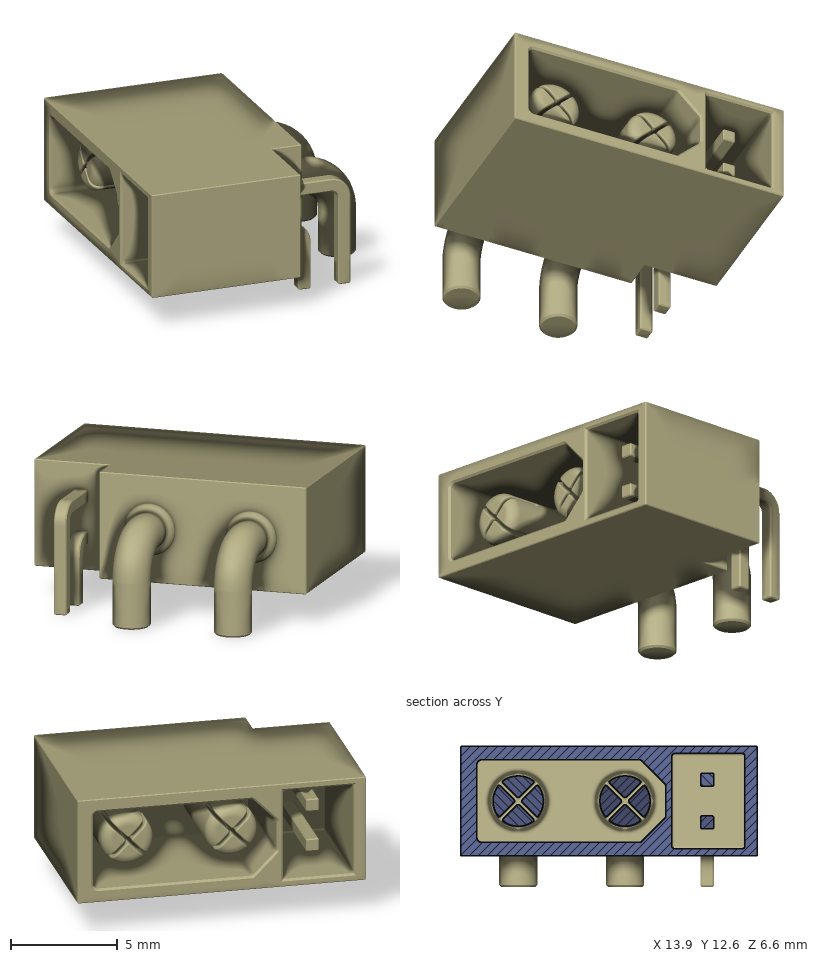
import cadquery as cq

WIDTH = 13.9
DEPTH = 9.0
HEIGHT = 5.15
MID_HEIGHT = HEIGHT / 2
STEP_X = 10.2
STEP_DEPTH = 1.5
STEP_Y = DEPTH - STEP_DEPTH
BLOCK_CHAMFER = 0.04

POCKET_DEPTH = 6.0
MOUTH_CHAMFER = 0.1
POWER_LEFT = 0.76
POWER_RIGHT = 9.6
POWER_MARGIN = 0.65
POWER_BEVEL = 1.17
POWER_CORNER_RADIUS = 0.24
BEVEL_CORNER_RADIUS = 0.2
SIGNAL_LEFT = 9.91
SIGNAL_RIGHT = 13.3
SIGNAL_MARGIN = 0.36
SIGNAL_EDGE_RADIUS = 0.1

TIP_Y = 1.0
FOOT_Z = -1.45

POWER_X = (2.7, 7.7)
HEAD_DIAMETER = 2.5
TAIL_DIAMETER = 1.8
TAIL_BEND_RADIUS = 1.8
TAIL_REAR_Y = 12.64
TAIL_Y = TAIL_REAR_Y - TAIL_DIAMETER / 2
COLLAR_LENGTH = 0.3
COLLAR_FILLET = 0.29
TIP_FILLET = 0.5
FOOT_CHAMFER = 0.1
SLOT_WIDTH = 0.17
SLOT_DEPTH = 2.0
SLOT_RIM_RADIUS = 0.07
SLOT_CORNER_RADIUS = 0.1
SLOT_ANGLES = (45, 135)

SIGNAL_X = 11.55
SIGNAL_PITCH = 2.0
SIGNAL_SIZE = 0.63
SIGNAL_BEND_RADIUS = 0.99
SIGNAL_EDGE_CHAMFER = 0.05
UPPER_LEG_Y = 10.5
LOWER_LEG_Y = 8.49
SIGNAL_CONTACTS = (
    (MID_HEIGHT + SIGNAL_PITCH / 2, UPPER_LEG_Y),
    (MID_HEIGHT - SIGNAL_PITCH / 2, LOWER_LEG_Y),
)


def front_plane(y):
    """Plane facing the front: local x is X, local y is Z, extrusion goes toward -Y."""
    return cq.Workplane("XZ", origin=(0, y, 0))


def make_block():
    """Edge-chamfered block with a step cut out of its rear right corner."""
    block = cq.Workplane("XY").box(WIDTH, DEPTH, HEIGHT, centered=False)
    step = (
        cq.Workplane("XY", origin=(STEP_X, STEP_Y, 0))
        .box(WIDTH - STEP_X, STEP_DEPTH, HEIGHT, centered=False)
    )
    inner_corner = cq.selectors.NearestToPointSelector((STEP_X, STEP_Y, MID_HEIGHT))
    outer_edges = cq.selectors.InverseSelector(inner_corner)
    return block.cut(step).edges(outer_edges).chamfer(BLOCK_CHAMFER)


def make_power_cavity():
    """Space of the power pocket: rounded on the left, bevelled on the right."""
    bottom = POWER_MARGIN
    top = HEIGHT - POWER_MARGIN
    bevel_x = POWER_RIGHT - POWER_BEVEL
    cavity = (
        front_plane(POCKET_DEPTH)
        .polyline([
            (POWER_LEFT, bottom),
            (bevel_x, bottom),
            (POWER_RIGHT, bottom + POWER_BEVEL),
            (POWER_RIGHT, top - POWER_BEVEL),
            (bevel_x, top),
            (POWER_LEFT, top),
        ])
        .close()
        .extrude(POCKET_DEPTH)
    )
    middle_x = (POWER_LEFT + bevel_x) / 2
    left_corners = cq.selectors.BoxSelector((0, 0, 0), (middle_x, DEPTH, HEIGHT))
    right_corners = cq.selectors.BoxSelector((middle_x, 0, 0), (WIDTH, DEPTH, HEIGHT))
    cavity = cavity.edges("|Y").edges(left_corners).fillet(POWER_CORNER_RADIUS)
    return cavity.edges("|Y").edges(right_corners).fillet(BEVEL_CORNER_RADIUS)


def make_signal_cavity():
    """Space of the signal pocket, before its inner edges are rounded."""
    return (
        cq.Workplane("XY", origin=(SIGNAL_LEFT, 0, SIGNAL_MARGIN))
        .box(SIGNAL_RIGHT - SIGNAL_LEFT, POCKET_DEPTH, HEIGHT - 2 * SIGNAL_MARGIN, centered=False)
    )


def make_mouth(cavity):
    """Bevelled rim around the front end of a cavity."""
    outline = cavity.faces("<Y").wires().val()
    inner = outline.translate(cq.Vector(0, MOUTH_CHAMFER, 0))
    outer = outline.offset2D(MOUTH_CHAMFER, "intersection")[0]
    return cq.Workplane(cq.Solid.makeLoft([inner, outer], True))


def make_housing():
    """Block with both pockets and the holes that the contacts sit in."""
    power_cavity = make_power_cavity()
    signal_cavity = make_signal_cavity()
    rounded_signal_cavity = signal_cavity.edges("not <Y").fillet(SIGNAL_EDGE_RADIUS)
    housing = (
        make_block()
        .cut(power_cavity)
        .cut(make_mouth(power_cavity))
        .cut(rounded_signal_cavity)
        .cut(make_mouth(signal_cavity))
    )
    power_holes = (
        front_plane(DEPTH)
        .pushPoints([(x, MID_HEIGHT) for x in POWER_X])
        .circle(HEAD_DIAMETER / 2)
        .extrude(DEPTH - POCKET_DEPTH)
    )
    housing = housing.cut(power_holes)
    for z, leg_y in SIGNAL_CONTACTS:
        housing = housing.cut(make_signal_contact(z, leg_y))
    return housing


def make_slot(angle):
    """Cutter with a half-round floor, centred on the tip and turned about Y by angle."""
    straight_depth = SLOT_DEPTH - SLOT_WIDTH / 2
    return (
        cq.Workplane("YZ", origin=(-HEAD_DIAMETER, 0, 0))
        .moveTo(-SLOT_DEPTH, -SLOT_WIDTH / 2)
        .lineTo(straight_depth, -SLOT_WIDTH / 2)
        .threePointArc((SLOT_DEPTH, 0), (straight_depth, SLOT_WIDTH / 2))
        .lineTo(-SLOT_DEPTH, SLOT_WIDTH / 2)
        .close()
        .extrude(2 * HEAD_DIAMETER)
        .rotate((0, 0, 0), (0, 1, 0), angle)
    )


def make_crossed_slots():
    """Two slot cutters crossing at right angles, with rounded corners between them."""
    first_angle, second_angle = SLOT_ANGLES
    crossing = cq.selectors.BoxSelector(
        (-SLOT_WIDTH, -SLOT_DEPTH, -SLOT_WIDTH), (SLOT_WIDTH, SLOT_DEPTH, SLOT_WIDTH)
    )
    slots = make_slot(first_angle).union(make_slot(second_angle))
    return slots.edges("|Y").edges(crossing).fillet(SLOT_CORNER_RADIUS)


def make_power_contact(x):
    """Round contact with a cross-slotted tip and a tail bent down."""
    head_end = DEPTH + COLLAR_LENGTH
    head = (
        front_plane(head_end)
        .center(x, MID_HEIGHT)
        .circle(HEAD_DIAMETER / 2)
        .extrude(head_end - TIP_Y)
        .faces(">Y").edges().fillet(COLLAR_FILLET)
        .faces("<Y").edges().fillet(TIP_FILLET)
    )
    head = head.cut(make_crossed_slots().translate((x, TIP_Y, MID_HEIGHT)))
    head = head.faces("<Y").edges("not %CIRCLE").fillet(SLOT_RIM_RADIUS)

    bend_y = TAIL_Y - TAIL_BEND_RADIUS
    bend_z = MID_HEIGHT - TAIL_BEND_RADIUS
    path = (
        cq.Workplane("YZ", origin=(x, 0, 0))
        .moveTo(head_end, MID_HEIGHT)
        .lineTo(bend_y, MID_HEIGHT)
        .tangentArcPoint((TAIL_Y, bend_z), relative=False)
        .lineTo(TAIL_Y, FOOT_Z)
    )
    tail = (
        front_plane(head_end)
        .center(x, MID_HEIGHT)
        .circle(TAIL_DIAMETER / 2)
        .sweep(path)
        .faces("<Z").edges().chamfer(FOOT_CHAMFER)
    )
    return head.union(tail)


def make_signal_contact(z, leg_y):
    """Square bar running backward at height z, then bent down at leg_y."""
    half = SIGNAL_SIZE / 2
    outer_y = leg_y + half
    inner_y = leg_y - half
    return (
        cq.Workplane("YZ", origin=(SIGNAL_X - half, 0, 0))
        .moveTo(TIP_Y, z - half)
        .lineTo(inner_y - (SIGNAL_BEND_RADIUS - SIGNAL_SIZE), z - half)
        .tangentArcPoint((inner_y, z + half - SIGNAL_BEND_RADIUS), relative=False)
        .lineTo(inner_y, FOOT_Z)
        .lineTo(outer_y, FOOT_Z)
        .lineTo(outer_y, z + half - SIGNAL_BEND_RADIUS)
        .tangentArcPoint((outer_y - SIGNAL_BEND_RADIUS, z + half), relative=False)
        .lineTo(TIP_Y, z + half)
        .close()
        .extrude(SIGNAL_SIZE)
        .edges()
        .chamfer(SIGNAL_EDGE_CHAMFER)
    )


housing = make_housing()
power_contacts = [make_power_contact(x) for x in POWER_X]
signal_contacts = [make_signal_contact(z, leg_y) for z, leg_y in SIGNAL_CONTACTS]

result = cq.Compound.makeCompound([
    housing.val(),
    *[contact.val() for contact in power_contacts],
    *[contact.val() for contact in signal_contacts],
])